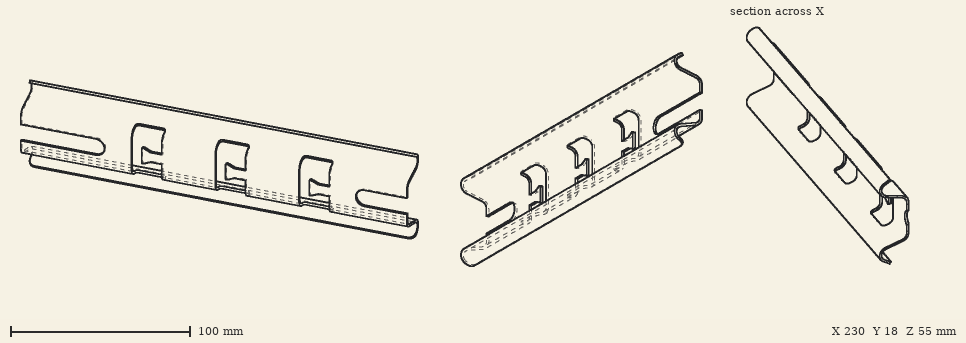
import cadquery as cq
import math

length = 230.0
depth = 18.0
height = 55.0
sheet = 1.5
web_half_height = 10.0
bend_radius = 5.0
wall_slope = math.radians(15)
lip_slope = math.radians(30)
lip_corner_radius = 3.7

slot_width = 10.4
left_slot_length = 50.0
right_slot_length = 30.4

window_count = 3
window_pitch = 50.0
first_window_x = 66.0
window_length = 18.0
window_depth = 7.4
window_corner_radius = 2.0

tab_gap = 6.0
tab_flare_length = 5.3
tab_neck_width = 6.2
tab_head_width = 11.0
tab_corner_radius = 1.0

inner_radius = bend_radius - sheet
wall_start_y = bend_radius * (1 - math.sin(wall_slope))
wall_start_z = web_half_height + bend_radius * math.cos(wall_slope)
lip_center_y = depth - bend_radius
wall_end_y = lip_center_y + inner_radius * math.sin(wall_slope)
wall_end_z = wall_start_z + (wall_end_y - wall_start_y) * math.tan(wall_slope)
lip_center_z = wall_end_z + inner_radius * math.cos(wall_slope)


def on_circle(center, radius, angle):
    """Point (y, z) at an angle measured from +Y toward +Z."""
    return (center[0] + radius * math.cos(angle), center[1] + radius * math.sin(angle))


def half_section():
    """Upper half of the rail's section, from the mid plane to the lip's edge."""
    web_center = (bend_radius, web_half_height)
    lip_center = (lip_center_y, lip_center_z)
    web_bend_end = math.pi / 2 + wall_slope
    web_bend_middle = (math.pi + web_bend_end) / 2
    lip_bend_start = wall_slope - math.pi / 2
    lip_bend_end = math.pi / 2 - lip_slope
    lip_bend_middle = (lip_bend_start + lip_bend_end) / 2

    lip_outside_start = on_circle(lip_center, bend_radius, lip_bend_end)
    lip_inside_start = on_circle(lip_center, inner_radius, lip_bend_end)
    lip_rise = height / 2 - lip_outside_start[1]
    lip_run = lip_rise / math.tan(lip_slope)

    return (
        cq.Workplane("YZ")
        .moveTo(0, 0)
        .lineTo(0, web_half_height)
        .threePointArc(
            on_circle(web_center, bend_radius, web_bend_middle),
            on_circle(web_center, bend_radius, web_bend_end),
        )
        .lineTo(wall_end_y, wall_end_z)
        .threePointArc(on_circle(lip_center, inner_radius, lip_bend_middle), lip_inside_start)
        .lineTo(lip_inside_start[0] - lip_run, lip_inside_start[1] + lip_rise)
        .lineTo(lip_outside_start[0] - lip_run, lip_outside_start[1] + lip_rise)
        .lineTo(*lip_outside_start)
        .threePointArc(
            on_circle(lip_center, bend_radius, lip_bend_middle),
            on_circle(lip_center, bend_radius, lip_bend_start),
        )
        .lineTo(*on_circle(web_center, inner_radius, web_bend_end))
        .threePointArc(
            on_circle(web_center, inner_radius, web_bend_middle),
            (sheet, web_half_height),
        )
        .lineTo(sheet, 0)
        .close()
    )


def rail():
    """Full-length rail with rounded corners at the lip ends."""
    upper = half_section().extrude(length)
    across_sheet = cq.Vector(0, math.sin(lip_slope), math.cos(lip_slope))
    upper = upper.edges(cq.selectors.ParallelDirSelector(across_sheet)).fillet(lip_corner_radius)
    return upper.union(upper.mirror("XY"))


def end_slot(edge_x, slot_length, direction):
    """Slot open at the rail end, rounded at its inner end; direction points into the rail."""
    radius = slot_width / 2
    straight_end_x = edge_x + direction * (slot_length - radius)
    return (
        cq.Workplane("XZ")
        .moveTo(edge_x, -radius)
        .lineTo(straight_end_x, -radius)
        .threePointArc((edge_x + direction * slot_length, 0), (straight_end_x, radius))
        .lineTo(edge_x, radius)
        .close()
        .extrude(-sheet)
    )


def window(start_x):
    """Notch through the web and both walls; its ends are square to the walls, with rounded corners."""
    end_z = wall_start_z + (window_depth - wall_start_y) * math.tan(wall_slope)
    top_z = height / 2
    end_lean = math.tan(wall_slope)
    upper = (
        cq.Workplane("YZ", origin=(start_x, 0, 0))
        .polyline([
            (0, 0),
            (window_depth + end_z * end_lean, 0),
            (window_depth - (top_z - end_z) * end_lean, top_z),
            (0, top_z),
        ])
        .close()
        .extrude(window_length)
    )
    across_wall = cq.Vector(0, -math.sin(wall_slope), math.cos(wall_slope))
    upper = upper.edges(cq.selectors.ParallelDirSelector(across_wall)).fillet(window_corner_radius)
    return upper.union(upper.mirror("XY"))


def tab(start_x):
    """Flat tab reaching from the window's right side, flaring to a wider head."""
    head_x = start_x + tab_gap
    neck_x = head_x + tab_flare_length
    root_x = start_x + window_length
    head = tab_head_width / 2
    neck = tab_neck_width / 2
    return (
        cq.Workplane("XZ")
        .polyline([
            (root_x, -neck), (neck_x, -neck), (head_x, -head),
            (head_x, head), (neck_x, neck), (root_x, neck),
        ])
        .close()
        .extrude(-sheet)
        .edges("|Y and <X")
        .fillet(tab_corner_radius)
    )


result = rail()
result = result.cut(end_slot(0, left_slot_length, 1))
result = result.cut(end_slot(length, right_slot_length, -1))
for index in range(window_count):
    window_x = first_window_x + index * window_pitch
    result = result.cut(window(window_x)).union(tab(window_x))